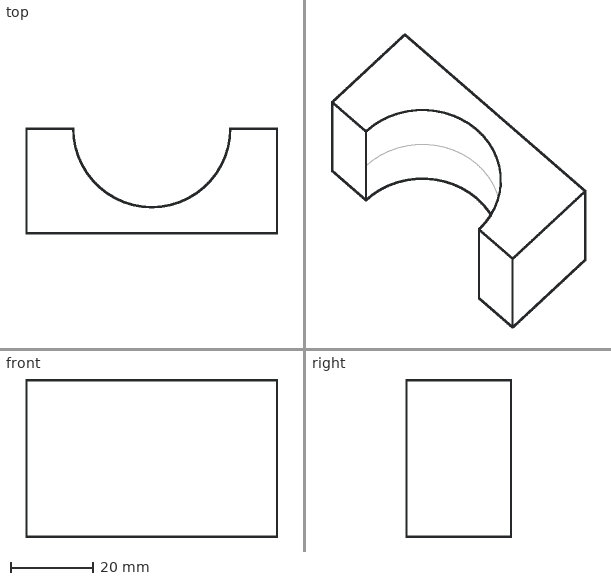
import cadquery as cq

length = 60.95
depth = 25.4
height = 38.1
saddle_diameter = 38.1

block = cq.Workplane("XY").box(length, depth, height)

saddle = (
    cq.Workplane("XY")
    .center(0, depth / 2)
    .circle(saddle_diameter / 2)
    .extrude(height / 2, both=True)
)

result = block.cut(saddle)